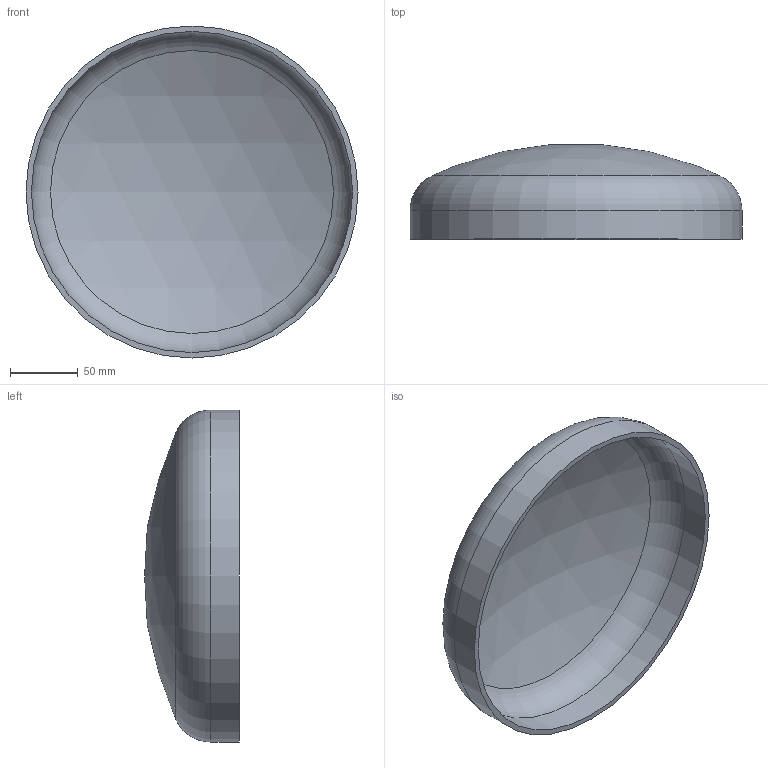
import cadquery as cq
import math

outer_diameter = 244.5
wall = 4.0
flange_length = 21.0

crown_inside = outer_diameter
crown_outside = crown_inside + wall
knuckle_inside = outer_diameter / 10
knuckle_outside = knuckle_inside + wall

knuckle_center_x = outer_diameter / 2 - knuckle_outside
center_distance = crown_inside - knuckle_inside
tangent_angle = math.asin(knuckle_center_x / center_distance)
knuckle_mid_angle = (tangent_angle + math.pi / 2) / 2
crown_center_y = flange_length - center_distance * math.cos(tangent_angle)


def knuckle_point(radius, angle):
    """Point on the knuckle, with the angle measured from the +Y axis towards +X."""
    return (
        knuckle_center_x + radius * math.sin(angle),
        flange_length + radius * math.cos(angle),
    )


def flange_and_knuckle():
    """Ring of constant wall: straight flange turning inwards through the knuckle."""
    profile = (
        cq.Workplane("XY")
        .moveTo(knuckle_center_x + knuckle_inside, 0)
        .lineTo(knuckle_center_x + knuckle_outside, 0)
        .lineTo(knuckle_center_x + knuckle_outside, flange_length)
        .threePointArc(
            knuckle_point(knuckle_outside, knuckle_mid_angle),
            knuckle_point(knuckle_outside, tangent_angle),
        )
        .lineTo(*knuckle_point(knuckle_inside, tangent_angle))
        .threePointArc(
            knuckle_point(knuckle_inside, knuckle_mid_angle),
            knuckle_point(knuckle_inside, math.pi / 2),
        )
        .close()
    )
    return profile.revolve(360, (0, 0, 0), (0, 1, 0))


def crown():
    """Spherical shell inside the cone through the tangent circles of both skins."""
    shell = cq.Workplane("XY").sphere(crown_outside).cut(cq.Workplane("XY").sphere(crown_inside))
    cone_height = crown_outside + wall
    cone = (
        cq.Workplane("XY")
        .lineTo(cone_height * math.tan(tangent_angle), cone_height)
        .lineTo(0, cone_height)
        .close()
        .revolve(360, (0, 0, 0), (0, 1, 0))
    )
    return shell.intersect(cone).translate((0, crown_center_y, 0))


result = flange_and_knuckle().union(crown())